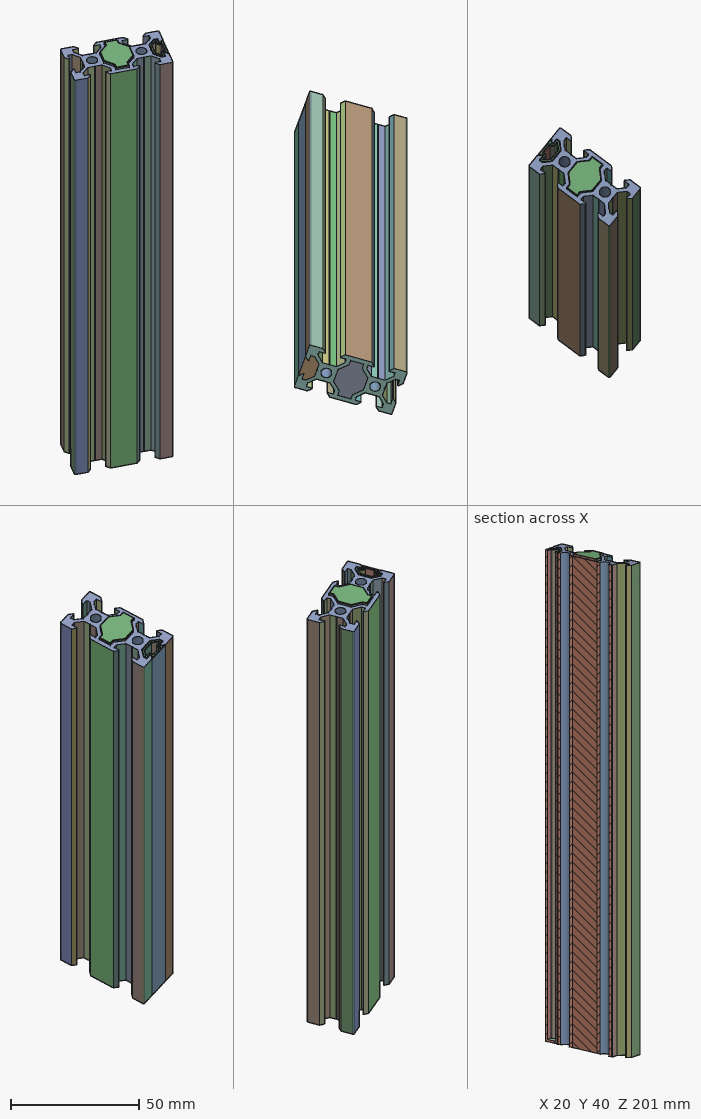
import cadquery as cq

TOTAL_HEIGHT = 201.0
LID_HEIGHT = 1.0
RAIL_HEIGHT = TOTAL_HEIGHT - LID_HEIGHT
RAIL_DEPTH = 40.0
CELL = RAIL_DEPTH / 2
HALF_CELL = CELL / 2
CORNER_RADIUS = 0.5

BORE_DIAMETER = 4.2
CORE_WALL = 1.79
CORE_HALF_WIDTH = BORE_DIAMETER / 2 + CORE_WALL
CORE_OVERHANG = 0.8
FLANK_DEPTH = 1.49
UNDERCUT = 0.92
THROAT_HALF_WIDTH = CORE_HALF_WIDTH - CORE_OVERHANG
MOUTH_HALF_WIDTH = THROAT_HALF_WIDTH + FLANK_DEPTH
SLOT_HALF_WIDTH = MOUTH_HALF_WIDTH + UNDERCUT
LIP_THICKNESS = 1.8
RIB_SHIFT = 1.07
NOTCH = 0.2

CAVITY_WALL = LIP_THICKNESS
CAVITY_SIDE_HEIGHT = 5.5

CHAMFER_INSET = 0.3
CHAMFER_DROP = 0.2

TRAY_WALL = 1.1
TRAY_FLOOR = TRAY_WALL
TRAY_RIM_INSET = 0.2
TRAY_RIM_DROP = 0.3


def mirrored(points):
    """Close a half outline by repeating it on the other side of the X axis."""
    return points + [(x, -y) for x, y in reversed(points)]


def prism(points, height):
    return cq.Workplane("XY").polyline(points).close().extrude(height)


def slot_half_outline():
    """Upper half of a slot that opens toward +X, measured from the centre of its cell."""
    lip_inside = HALF_CELL - LIP_THICKNESS
    return [
        (HALF_CELL, MOUTH_HALF_WIDTH),
        (HALF_CELL - FLANK_DEPTH, THROAT_HALF_WIDTH),
        (lip_inside, THROAT_HALF_WIDTH),
        (lip_inside, SLOT_HALF_WIDTH),
        (SLOT_HALF_WIDTH + RIB_SHIFT, SLOT_HALF_WIDTH),
        (CORE_HALF_WIDTH, CORE_HALF_WIDTH - RIB_SHIFT),
    ]


def cavity_outline():
    end = HALF_CELL - CAVITY_WALL
    side = CAVITY_SIDE_HEIGHT / 2
    top = HALF_CELL - CORE_HALF_WIDTH
    shoulder = HALF_CELL - side - RIB_SHIFT
    flat = HALF_CELL - top - RIB_SHIFT
    right_half = [(flat, top), (shoulder, side), (end, side)]
    left_half = [(-x, y) for x, y in reversed(right_half)]
    return mirrored(left_half + right_half)


def in_slot(body, cell_y, angle):
    """Turn a body made for a +X slot to face another way, and move it to its cell."""
    return body.rotate((0, 0, 0), (0, 0, 1), angle).translate((0, cell_y, 0))


def make_rail():
    rail = cq.Workplane("XY").rect(CELL, RAIL_DEPTH).extrude(RAIL_HEIGHT)
    rail = rail.edges("|Z").fillet(CORNER_RADIUS)

    slot = prism(mirrored(slot_half_outline()), RAIL_HEIGHT)
    floor_x = CORE_HALF_WIDTH
    notch = prism([(floor_x, NOTCH), (floor_x - NOTCH, 0), (floor_x, -NOTCH)], RAIL_HEIGHT)
    for side in (1, -1):
        cell_y = side * HALF_CELL
        for angle in (0, 180, side * 90):
            rail = rail.cut(in_slot(slot, cell_y, angle))
            rail = rail.cut(in_slot(notch, cell_y, angle))

    bores = cq.Workplane("XY").pushPoints([(0, HALF_CELL), (0, -HALF_CELL)])
    rail = rail.cut(bores.circle(BORE_DIAMETER / 2).extrude(RAIL_HEIGHT))
    return rail.cut(prism(cavity_outline(), RAIL_HEIGHT))


def make_cavity_core():
    """Bar that fills the central cavity up to the end of the rail."""
    return prism(cavity_outline(), RAIL_HEIGHT)


def make_lid():
    """Chamfered cap that stands on the core, above the end of the rail."""
    lid = prism(cavity_outline(), LID_HEIGHT).faces(">Z").chamfer(CHAMFER_DROP, CHAMFER_INSET)
    return lid.translate((0, 0, RAIL_HEIGHT))


def make_slot_tray():
    """Deep hollow insert that fills the +Y slot: open at the top, closed by a floor at the bottom."""
    outline = mirrored(slot_half_outline())
    tray = prism(outline, RAIL_HEIGHT).faces(">Z").chamfer(CHAMFER_DROP, CHAMFER_INSET)

    def inside(wall, z):
        return cq.Workplane("XY", origin=(0, 0, z)).polyline(outline).close().offset2D(-wall)

    tray = tray.cut(inside(TRAY_WALL, TRAY_FLOOR).extrude(RAIL_HEIGHT - TRAY_FLOOR))

    rim_start = inside(TRAY_WALL, RAIL_HEIGHT - TRAY_RIM_DROP).wires().val()
    rim_end = inside(TRAY_WALL - TRAY_RIM_INSET, RAIL_HEIGHT).wires().val()
    tray = tray.cut(cq.Workplane(cq.Solid.makeLoft([rim_start, rim_end], True)))
    return in_slot(tray, HALF_CELL, 90)


rail = make_rail()
cavity_core = make_cavity_core()
lid = make_lid()
slot_tray = make_slot_tray()

bodies = [body.solids().val() for body in (rail, cavity_core, lid, slot_tray)]
result = cq.Compound.makeCompound(bodies)